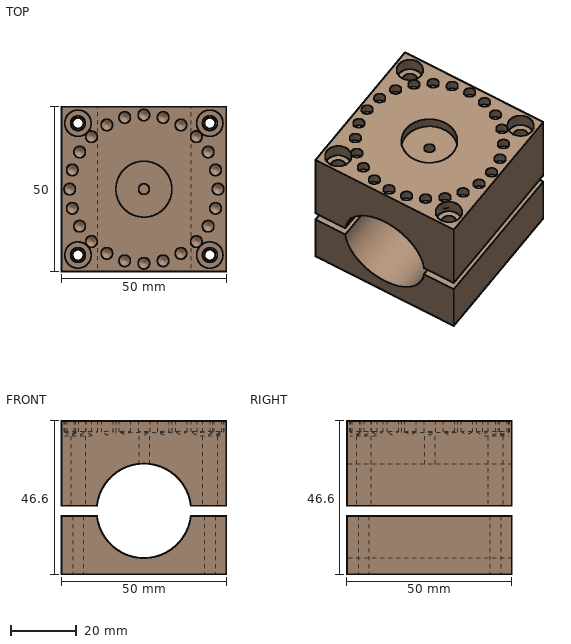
import cadquery as cq
import math

side = 50.0
pipe_dia = 28.6
wall_above_pipe = 13.0
wall_below_pipe = 5.0
clamp_gap = 3.0

top_z = pipe_dia / 2 + wall_above_pipe
bottom_z = -pipe_dia / 2 - wall_below_pipe
upper_face_z = clamp_gap / 2
lower_face_z = -clamp_gap / 2

screw_spacing = 40.0
screw_clearance_dia = 4.5
screw_head_dia = 8.0
screw_head_depth = 4.6
thread_dia = 3.24

recess_dia = 17.0
recess_depth = 3.5

index_count = 24
index_ring_radius = 22.5
index_dia = 3.5
index_depth = 3.2
drill_tip_angle = 118


def block(z_low, z_high):
    """Square clamp block with the pipe bore cut through it."""
    body = cq.Workplane("XY").workplane(offset=z_low).rect(side, side).extrude(z_high - z_low)
    pipe = cq.Workplane("XZ").circle(pipe_dia / 2).extrude(side / 2, both=True)
    return body.cut(pipe)


def index_drill():
    """Drill shape on the Z axis: a cylinder below the top face, ending in a cone."""
    radius = index_dia / 2
    shoulder_z = top_z - index_depth
    tip_z = shoulder_z - radius / math.tan(math.radians(drill_tip_angle / 2))
    profile = [(0, top_z), (radius, top_z), (radius, shoulder_z), (0, tip_z)]
    return cq.Workplane("XZ").polyline(profile).close().revolve(360, (0, 0, 0), (0, 1, 0))


def make_upper_clamp():
    body = block(upper_face_z, top_z)
    top_plane = cq.Workplane("XY").workplane(offset=top_z)

    corners = top_plane.rect(screw_spacing, screw_spacing, forConstruction=True).vertices()
    body = body.cut(corners.circle(screw_clearance_dia / 2).extrude(upper_face_z - top_z))
    body = body.cut(corners.circle(screw_head_dia / 2).extrude(-screw_head_depth))

    body = body.cut(top_plane.circle(recess_dia / 2).extrude(-recess_depth))
    body = body.cut(top_plane.circle(thread_dia / 2).extrude(-top_z))

    drill = index_drill()
    for index in range(index_count):
        angle = 2 * math.pi * index / index_count
        x = index_ring_radius * math.cos(angle)
        y = index_ring_radius * math.sin(angle)
        body = body.cut(drill.translate((x, y, 0)))
    return body


def make_lower_clamp():
    body = block(bottom_z, lower_face_z)
    bottom_plane = cq.Workplane("XY").workplane(offset=bottom_z)
    corners = bottom_plane.rect(screw_spacing, screw_spacing, forConstruction=True).vertices()
    return body.cut(corners.circle(thread_dia / 2).extrude(lower_face_z - bottom_z))


upper_clamp = make_upper_clamp()
lower_clamp = make_lower_clamp()

result = cq.Compound.makeCompound([upper_clamp.val(), lower_clamp.val()])